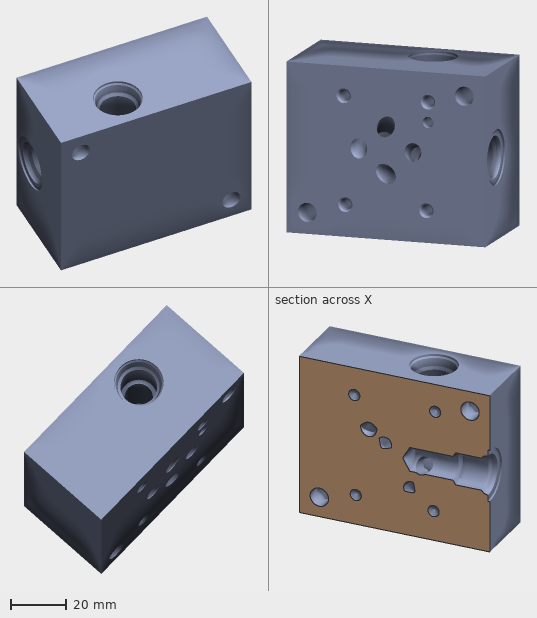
import cadquery as cq
import math

WIDTH = 38.1
LENGTH = 76.2
HEIGHT = 63.5
VALVE_FACE_X = -WIDTH / 2

DRILL_POINT_HALF_ANGLE = 59

MOUNT_DIAMETER = 7.2
MOUNT_Y = 30.1
MOUNT_Z = 23.8

SCREW_DRILL_RADIUS = 2.1
SCREW_MOUTH_RADIUS = 2.75
SCREW_DEPTH = 12.2
UPPER_SCREW_Y = 16.15
UPPER_SCREW_Z = 20.6
LOWER_SCREW_Y = 15.55
LOWER_SCREW_Z = -19.8
PIN_RADIUS = 2.05
PIN_DEPTH = 4.6
PIN_Z = 13.0

PASSAGE_RADIUS = 3.2
SIDE_MOUTH_Y = 10.4
SIDE_MOUTH_Z = 1.5
TOP_MOUTH_Z = 10.2
BOTTOM_MOUTH_Z = -7.25
RISING_HEADING = 90
RISING_TILT = 32
LINK_HEADING = -90
LINK_TILT = 20
TOP_HEADING = -60
TOP_TILT = 39
BOTTOM_HEADING = -140
BOTTOM_TILT = 40
BLIND_PASSAGE_LENGTH = 13.7
LINK_PASSAGE_LENGTH = 27.4

FRONT_PORT_X = -7.2
FRONT_PORT_Z = -0.85
FRONT_SPOTFACE_RADIUS = 10.3
FRONT_SPOTFACE_DEPTH = 0.7
FRONT_SEAL_OUTER_RADIUS = 7.9
FRONT_SEAL_INNER_RADIUS = 7.5
FRONT_SEAL_DEPTH = 2.45
FRONT_THREAD_RADIUS = 6.4
FRONT_THREAD_DEPTH = 13.7
FRONT_DRILL_RADIUS = 4.7
FRONT_DRILL_DEPTH = 32.0

TOP_PORT_X = 6.4
TOP_PORT_Y = -9.45
TOP_RIM_RADIUS = 9.0
TOP_RIM_TAPER = 0.1
TOP_RIM_DEPTH = 0.8
TOP_SEAL_OUTER_RADIUS = 8.4
TOP_SEAL_INNER_RADIUS = 7.6
TOP_SEAL_DEPTH = 4.2
TOP_THREAD_RADIUS = 6.6
TOP_THREAD_DEPTH = 16.8
TOP_DRILL_RADIUS = 5.1
TOP_DRILL_DEPTH = 40.0


def drill_point_height(radius_drop):
    return radius_drop / math.tan(math.radians(DRILL_POINT_HALF_ANGLE))


def stepped_hole(profile, mouth, inward, seam):
    """Revolved (radius, depth) steps that start at the mouth and end in a drill point."""
    end_radius, end_depth = profile[-1]
    tip = (0, end_depth + drill_point_height(end_radius))
    normal = cq.Vector(seam).cross(cq.Vector(inward))
    plane = cq.Plane(origin=mouth, xDir=seam, normal=normal)
    outline = [(0, 0)] + profile + [tip]
    return cq.Workplane(plane).polyline(outline).close().revolve(360, (0, 0), (0, 1))


def valve_face_hole(y, z, profile):
    return stepped_hole(profile, (VALVE_FACE_X, y, z), (1, 0, 0), (0, 1, 0))


def mounting_hole(y, z):
    outline = cq.Workplane("YZ").center(y, z).circle(MOUNT_DIAMETER / 2)
    return outline.extrude(WIDTH / 2, both=True)


def slanted_passage(mouth_y, mouth_z, heading, tilt, length):
    """Drilling that leans away from X by the tilt, toward the heading."""
    lean = math.sin(math.radians(tilt))
    sideways_y = lean * math.cos(math.radians(heading))
    sideways_z = lean * math.sin(math.radians(heading))
    axis = cq.Vector(math.cos(math.radians(tilt)), sideways_y, sideways_z)
    run_in = 2 * PASSAGE_RADIUS
    start = cq.Vector(VALVE_FACE_X, mouth_y, mouth_z) - axis * run_in
    seam = axis.cross(cq.Vector(1, 0, 0)).normalized()
    profile = [(PASSAGE_RADIUS, 0), (PASSAGE_RADIUS, run_in + length)]
    return stepped_hole(profile, start.toTuple(), axis.toTuple(), seam.toTuple())


def front_port():
    shoulder_height = drill_point_height(FRONT_THREAD_RADIUS - FRONT_DRILL_RADIUS)
    profile = [
        (FRONT_SPOTFACE_RADIUS, 0),
        (FRONT_SPOTFACE_RADIUS, FRONT_SPOTFACE_DEPTH),
        (FRONT_SEAL_OUTER_RADIUS, FRONT_SPOTFACE_DEPTH),
        (FRONT_SEAL_INNER_RADIUS, FRONT_SEAL_DEPTH),
        (FRONT_THREAD_RADIUS, FRONT_SEAL_DEPTH + FRONT_SEAL_INNER_RADIUS - FRONT_THREAD_RADIUS),
        (FRONT_THREAD_RADIUS, FRONT_THREAD_DEPTH),
        (FRONT_DRILL_RADIUS, FRONT_THREAD_DEPTH + shoulder_height),
        (FRONT_DRILL_RADIUS, FRONT_DRILL_DEPTH),
    ]
    mouth = (FRONT_PORT_X, -LENGTH / 2, FRONT_PORT_Z)
    return stepped_hole(profile, mouth, (0, 1, 0), (0, 0, -1))


def top_port():
    rim_end_radius = TOP_RIM_RADIUS - TOP_RIM_TAPER
    profile = [
        (TOP_RIM_RADIUS, 0),
        (rim_end_radius, TOP_RIM_DEPTH),
        (TOP_SEAL_OUTER_RADIUS, TOP_RIM_DEPTH + rim_end_radius - TOP_SEAL_OUTER_RADIUS),
        (TOP_SEAL_INNER_RADIUS, TOP_SEAL_DEPTH),
        (TOP_THREAD_RADIUS, TOP_SEAL_DEPTH + TOP_SEAL_INNER_RADIUS - TOP_THREAD_RADIUS),
        (TOP_THREAD_RADIUS, TOP_THREAD_DEPTH),
        (TOP_DRILL_RADIUS, TOP_THREAD_DEPTH),
        (TOP_DRILL_RADIUS, TOP_DRILL_DEPTH),
    ]
    mouth = (TOP_PORT_X, TOP_PORT_Y, HEIGHT / 2)
    return stepped_hole(profile, mouth, (0, 0, -1), (1, 0, 0))


result = cq.Workplane("XY").box(WIDTH, LENGTH, HEIGHT)

screw_profile = [
    (SCREW_MOUTH_RADIUS, 0),
    (SCREW_DRILL_RADIUS, SCREW_MOUTH_RADIUS - SCREW_DRILL_RADIUS),
    (SCREW_DRILL_RADIUS, SCREW_DEPTH),
]
for side in (1, -1):
    result = result.cut(mounting_hole(side * MOUNT_Y, -side * MOUNT_Z))
    result = result.cut(valve_face_hole(side * UPPER_SCREW_Y, UPPER_SCREW_Z, screw_profile))
    result = result.cut(valve_face_hole(side * LOWER_SCREW_Y, LOWER_SCREW_Z, screw_profile))

pin_profile = [(PIN_RADIUS, 0), (PIN_RADIUS, PIN_DEPTH)]
result = result.cut(valve_face_hole(-UPPER_SCREW_Y, PIN_Z, pin_profile))

blind_passages = [
    (SIDE_MOUTH_Y, SIDE_MOUTH_Z, RISING_HEADING, RISING_TILT),
    (0, TOP_MOUTH_Z, TOP_HEADING, TOP_TILT),
    (0, BOTTOM_MOUTH_Z, BOTTOM_HEADING, BOTTOM_TILT),
]
for mouth_y, mouth_z, heading, tilt in blind_passages:
    result = result.cut(slanted_passage(mouth_y, mouth_z, heading, tilt, BLIND_PASSAGE_LENGTH))

link_passage = slanted_passage(-SIDE_MOUTH_Y, SIDE_MOUTH_Z, LINK_HEADING, LINK_TILT, LINK_PASSAGE_LENGTH)
result = result.cut(link_passage)

result = result.cut(front_port())
result = result.cut(top_port())